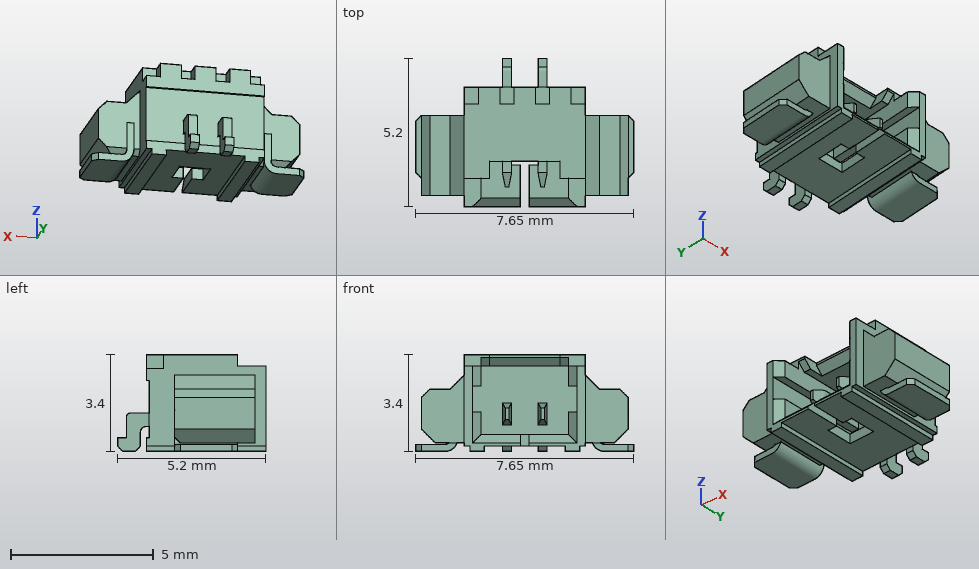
import cadquery as cq


body_width = 4.25
body_depth = 4.19
body_bottom = 0.19
body_top = 3.4
side_wall = 0.3
roof_thickness = 0.4
roof_underside = body_top - roof_thickness
roof_front = 0.995

lead_in = 0.3
mouth_width = body_width - 2 * side_wall
mouth_bottom = 0.3
cavity_width = mouth_width - 2 * lead_in
cavity_floor = mouth_bottom + lead_in
cavity_depth = 2.94
groove_bottom = 1.38
groove_top = 2.3

roof_notch_width = 2.46
roof_notch_depth = 0.6
floor_slot_width = 0.305
floor_window_width = 1.12
floor_window_front = 1.47
floor_window_rear = 2.6

rear_recess_depth = 0.09
rear_recess_bottom = 0.48
rear_recess_top = 2.49
rear_notch_depth = 0.6
rear_notch_height = 0.5
pin_notch_width = 0.49
corner_notch_width = 0.505

rail_inner = 1.415
rail_outer = 1.93

ear_outer = 3.625
ear_front = 0.39
ear_rear = 3.205
ear_bottom = 0.3
ear_top = 2.19
ear_top_chamfer = 0.3
ear_bottom_chamfer = 0.49
ear_gusset = 0.49
ear_rear_chamfer = 0.2

pin_pitch = 1.25
pin_xs = [-pin_pitch / 2, pin_pitch / 2]
pin_width = 0.32
blade_bottom = 0.93
blade_top = 1.705
blade_tip = 0.69
blade_taper = 0.505
blade_tip_width = 0.12
blade_tip_height = 0.4
blade_end = 3.52
tail_bottom = 0.87
tail_top = 1.355
tail_drop_front = 4.4
tail_drop_rear = 4.895
tail_end = 5.2
tail_foot_height = 0.48
tail_chamfer = 0.18
tail_outer_radius = 0.15
tail_inner_radius = 0.2

tab_outer = 3.825
tab_front = roof_front
tab_rear = ear_rear
tab_thickness = 0.25
tab_upright_inner = 2.35
tab_upright_top = 1.45
tab_inner_radius = 0.19
tab_corner = 0.21


def box(x_min, x_max, y_min, y_max, z_min, z_max):
    """Axis-aligned block between the given limits."""
    size = (x_max - x_min, y_max - y_min, z_max - z_min)
    return cq.Workplane("XY").box(*size, centered=False).translate((x_min, y_min, z_min))


def centered_box(width, y_min, y_max, z_min, z_max, x_center=0.0):
    """Block of the given width, centred on x_center."""
    return box(x_center - width / 2, x_center + width / 2, y_min, y_max, z_min, z_max)


def mirrored(shape):
    """Copy of a left-hand shape on the right-hand side."""
    return shape.mirror("YZ")


def x_prism(points, width, x_center=0.0):
    """Prism along X over a (Y, Z) outline."""
    start = x_center - width / 2
    return cq.Workplane("YZ", origin=(start, 0, 0)).polyline(points).close().extrude(width)


def xz_plane(y):
    """Plane whose local axes are X and Z and whose normal points to the rear (+Y)."""
    return cq.Plane(origin=(0, y, 0), xDir=(-1, 0, 0), normal=(0, 1, 0))


def housing_block():
    """Outer block with the roof set back from the mating face."""
    block = centered_box(body_width, 0, body_depth, body_bottom, body_top)
    return block.cut(centered_box(body_width, 0, roof_front, roof_underside, body_top))


def left_rail():
    return box(-rail_outer, -rail_inner, 0, body_depth, 0, body_bottom)


def left_ear():
    """Chamfered ear with a sloped gusset up to the side wall."""
    wall = -body_width / 2
    outline = [
        (wall, ear_bottom),
        (-ear_outer + ear_bottom_chamfer, ear_bottom),
        (-ear_outer, ear_bottom + ear_bottom_chamfer),
        (-ear_outer, ear_top - ear_top_chamfer),
        (-ear_outer + ear_top_chamfer, ear_top),
        (wall - ear_gusset, ear_top),
        (wall, ear_top + ear_gusset),
    ]
    length = ear_rear - ear_front
    ear = cq.Workplane("XZ", origin=(0, ear_front, 0)).polyline(outline).close().extrude(-length)
    rear_corner = [
        (ear_rear, ear_bottom),
        (ear_rear - ear_rear_chamfer, ear_bottom),
        (ear_rear, ear_bottom + ear_rear_chamfer),
    ]
    ear_width = ear_outer + wall
    return ear.cut(x_prism(rear_corner, ear_width, wall - ear_width / 2))


def cavity():
    """Mating cavity with side grooves and a flared mouth."""
    core = centered_box(cavity_width, 0, cavity_depth, cavity_floor, roof_underside)
    grooves = centered_box(mouth_width, 0, cavity_depth, groove_bottom, groove_top)
    mouth_top = roof_underside + lead_in
    mouth = (
        cq.Workplane(xz_plane(0))
        .center(0, (mouth_bottom + mouth_top) / 2)
        .rect(mouth_width, mouth_top - mouth_bottom)
        .extrude(lead_in, taper=45)
    )
    return core.union(grooves).union(mouth)


def roof_lead_in(front, width):
    """Wedge that chamfers the lower front edge of the roof."""
    outline = [
        (front, roof_underside),
        (front + lead_in, roof_underside),
        (front, roof_underside + lead_in),
    ]
    return x_prism(outline, width)


def roof_opening():
    """Notch in the front of the roof, and the chamfers under both front edges."""
    notch_rear = roof_front + roof_notch_depth
    notch = centered_box(roof_notch_width, roof_front, notch_rear, roof_underside, body_top)
    front_chamfer = roof_lead_in(roof_front, cavity_width)
    notch_chamfer = roof_lead_in(notch_rear, roof_notch_width)
    return notch.union(front_chamfer).union(notch_chamfer)


def floor_opening():
    """T-shaped opening through the floor."""
    slot = centered_box(floor_slot_width, 0, floor_window_front, body_bottom, cavity_floor)
    window = centered_box(
        floor_window_width, floor_window_front, floor_window_rear, body_bottom, cavity_floor
    )
    return slot.union(window)


def rear_recess():
    """Shallow recess across the rear face."""
    front = body_depth - rear_recess_depth
    return centered_box(body_width, front, body_depth, rear_recess_bottom, rear_recess_top)


def rear_notch(width, x_center):
    """Notch in the upper rear edge."""
    front = body_depth - rear_notch_depth
    return centered_box(width, front, body_depth, body_top - rear_notch_height, body_top, x_center)


def make_pin(x):
    """Contact with a tapered blade in the cavity and a tail bent down to the board."""
    taper_rear = blade_tip + blade_taper
    blade_height = blade_top - blade_bottom
    blade = centered_box(pin_width, taper_rear, blade_end, blade_bottom, blade_top, x)
    tip = (
        cq.Workplane(xz_plane(blade_tip))
        .center(-x, (blade_bottom + blade_top) / 2)
        .rect(blade_tip_width, blade_tip_height)
        .workplane(offset=blade_taper)
        .rect(pin_width, blade_height)
        .loft(ruled=True)
    )
    tail_outline = [
        (blade_end, tail_top),
        (tail_drop_rear, tail_top),
        (tail_drop_rear, tail_foot_height),
        (tail_end, tail_foot_height),
        (tail_end, tail_chamfer),
        (tail_end - tail_chamfer, 0),
        (tail_drop_front + tail_chamfer, 0),
        (tail_drop_front, tail_chamfer),
        (tail_drop_front, tail_bottom),
        (blade_end, tail_bottom),
    ]
    outer_bend = cq.selectors.NearestToPointSelector((x, tail_drop_rear, tail_top))
    inner_bend = cq.selectors.NearestToPointSelector((x, tail_drop_front, tail_bottom))
    tail = x_prism(tail_outline, pin_width, x)
    tail = tail.edges("|X").edges(outer_bend).fillet(tail_outer_radius)
    tail = tail.edges("|X").edges(inner_bend).fillet(tail_inner_radius)
    return blade.union(tip).union(tail)


def make_left_tab():
    """L-bent tab: a pad on the board and an upright inside the ear."""
    upright_outer = tab_upright_inner + tab_thickness
    outline = [
        (-tab_outer, 0),
        (-tab_upright_inner, 0),
        (-tab_upright_inner, tab_upright_top),
        (-upright_outer, tab_upright_top),
        (-upright_outer, tab_thickness),
        (-tab_outer, tab_thickness),
    ]
    length = tab_rear - tab_front
    tab = cq.Workplane("XZ", origin=(0, tab_front, 0)).polyline(outline).close().extrude(-length)
    middle = (tab_front + tab_rear) / 2
    inner_bend = cq.selectors.NearestToPointSelector((-upright_outer, middle, tab_thickness))
    outer_bend = cq.selectors.NearestToPointSelector((-tab_upright_inner, middle, 0))
    tab = tab.edges("|Y").edges(inner_bend).fillet(tab_inner_radius)
    tab = tab.edges("|Y").edges(outer_bend).fillet(tab_inner_radius + tab_thickness)
    return tab.edges("|Z and <X").chamfer(tab_corner)


pins = [make_pin(x) for x in pin_xs]
left_tab = make_left_tab()
tabs = [left_tab, mirrored(left_tab)]

housing = housing_block()
for side_feature in [left_rail(), left_ear()]:
    housing = housing.union(side_feature).union(mirrored(side_feature))

for opening in [cavity(), roof_opening(), floor_opening(), rear_recess()]:
    housing = housing.cut(opening)

for pin_x in pin_xs:
    housing = housing.cut(rear_notch(pin_notch_width, pin_x))

corner_notch_x = (body_width - corner_notch_width) / 2
for corner_x in [-corner_notch_x, corner_notch_x]:
    housing = housing.cut(rear_notch(corner_notch_width, corner_x))

for insert in pins + tabs:
    housing = housing.cut(insert)

result = cq.Compound.makeCompound(
    [body.solids().val() for body in [housing, *pins, *tabs]]
)